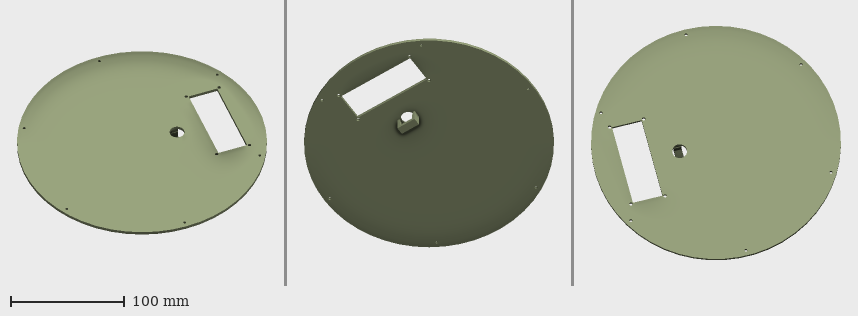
import cadquery as cq
import math

plate_diameter = 220.0
plate_thickness = 3.0

rim_hole_count = 6
rim_hole_diameter = 2.5
rim_hole_inset = 5.0
rim_hole_circle_radius = plate_diameter / 2 - rim_hole_inset

window_center_y = 71.5
window_width = 73.5
window_height = 27.0
screw_hole_diameter = 3.0
screw_spacing_x = 75.0
screw_spacing_y = 31.0

opening_diameter = 13.0
opening_center_y = 33.0
bracket_width = 18.0
bracket_depth = 7.0
bracket_floor = 3.0
bracket_clear_height = 10.0
bracket_height = bracket_clear_height + bracket_floor
bracket_upper_gap = 14.0
bracket_lower_gap = 12.5
bracket_upper_gap_height = 4.0


def make_plate():
    return cq.Workplane("XY").circle(plate_diameter / 2).extrude(plate_thickness)


def hanging_block(width, height):
    """Block under the plate, centred on the opening in X and Y."""
    return (
        cq.Workplane("XY")
        .center(0, opening_center_y)
        .rect(width, bracket_depth)
        .extrude(-height)
    )


def make_bracket():
    """U-shaped bracket whose gap is wider next to the plate."""
    body = hanging_block(bracket_width, bracket_height)
    lower_gap = hanging_block(bracket_lower_gap, bracket_clear_height)
    upper_gap = hanging_block(bracket_upper_gap, bracket_upper_gap_height)
    return body.cut(lower_gap).cut(upper_gap)


def underside_at(center_y=0.0):
    """Workplane on the plate underside, with its origin moved to center_y."""
    return cq.Workplane("XY").center(0, center_y)


def make_rim_holes():
    step = 2 * math.pi / rim_hole_count
    centers = [
        (rim_hole_circle_radius * math.cos(i * step), rim_hole_circle_radius * math.sin(i * step))
        for i in range(rim_hole_count)
    ]
    return underside_at().pushPoints(centers).circle(rim_hole_diameter / 2).extrude(plate_thickness)


def make_window():
    return underside_at(window_center_y).rect(window_width, window_height).extrude(plate_thickness)


def make_screw_holes():
    return (
        underside_at(window_center_y)
        .rect(screw_spacing_x, screw_spacing_y, forConstruction=True)
        .vertices()
        .circle(screw_hole_diameter / 2)
        .extrude(plate_thickness)
    )


def make_opening():
    return underside_at(opening_center_y).circle(opening_diameter / 2).extrude(plate_thickness)


plate = make_plate()
for cutter in (make_rim_holes(), make_window(), make_screw_holes(), make_opening()):
    plate = plate.cut(cutter)

result = plate.union(make_bracket())